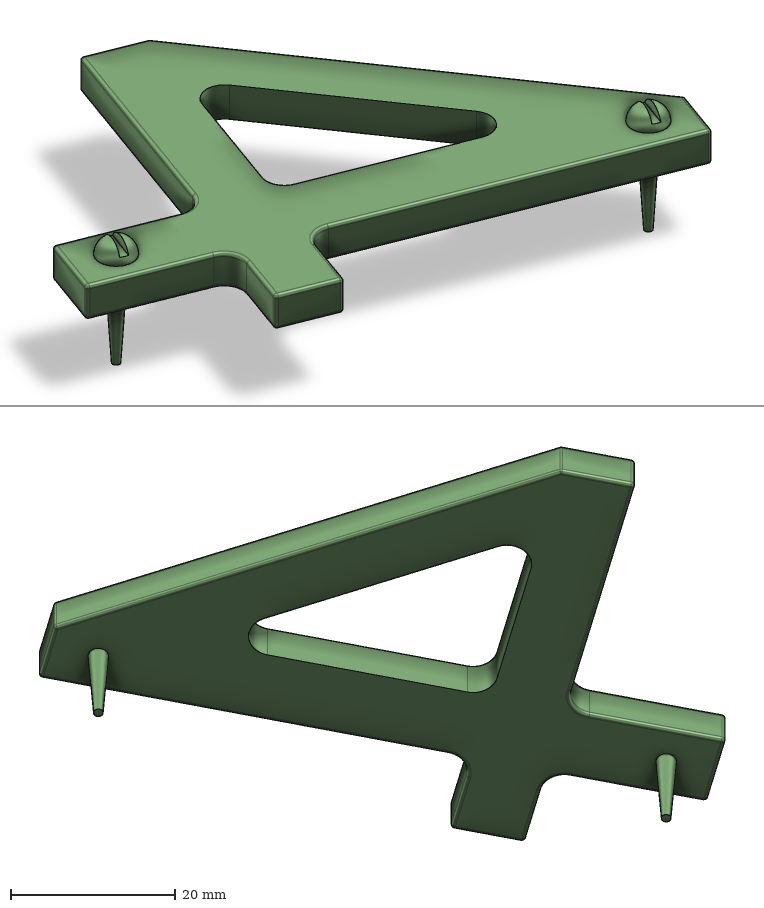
import cadquery as cq

plate_width = 57.8
plate_height = 83.7
plate_thickness = 5.0
stem_left = 36.4
stem_width = 10.05
stem_right = stem_left + stem_width
bar_bottom = 20.1
bar_width = 9.3
bar_top = bar_bottom + bar_width
top_left = 38.25
slope_stroke_run = 10.0
inside_radius = 3.0
edge_radius = 0.5

screw_x = stem_left + stem_width / 2
screw_inset = 6.3
screw_positions = [(screw_x, screw_inset), (screw_x, plate_height - screw_inset)]
head_radius = 2.8
head_height = 2.6
slot_width = 1.2
slot_depth = 1.5
shank_top_radius = 1.25
shank_tip_radius = 0.6
shank_projection = 10.9

shank_profile = [
    (0, plate_thickness),
    (shank_top_radius, plate_thickness),
    (shank_top_radius, 0),
    (shank_tip_radius, -shank_projection),
    (0, -shank_projection),
]


def make_opening():
    """Rounded triangular opening bounded by the slope, the bar and the stem."""
    slope = (plate_height - bar_top) / top_left
    opening_left = slope_stroke_run
    opening_top = bar_top + slope * (stem_left - opening_left)
    return (
        cq.Workplane("XY")
        .polyline([(opening_left, bar_top), (stem_left, bar_top), (stem_left, opening_top)])
        .close()
        .extrude(plate_thickness)
        .edges("|Z")
        .fillet(inside_radius)
    )


def make_shank():
    """Straight and tapered shank on the Z axis."""
    return cq.Workplane("XZ").polyline(shank_profile).close().revolve(360, (0, 0, 0), (0, 1, 0))


def make_plate():
    """Numeral four with rounded outer edges and two screw holes."""
    outline = [
        (0, bar_bottom),
        (stem_left, bar_bottom),
        (stem_left, 0),
        (stem_right, 0),
        (stem_right, bar_bottom),
        (plate_width, bar_bottom),
        (plate_width, bar_top),
        (stem_right, bar_top),
        (stem_right, plate_height),
        (top_left, plate_height),
        (0, bar_top),
    ]
    inside_corners = [(stem_left, bar_bottom), (stem_right, bar_bottom), (stem_right, bar_top)]
    body = cq.Workplane("XY").polyline(outline).close().extrude(plate_thickness)
    for x, y in inside_corners:
        corner = cq.selectors.NearestToPointSelector((x, y, plate_thickness / 2))
        body = body.edges("|Z").edges(corner).fillet(inside_radius)
    outside_corners = [point for point in outline if point not in inside_corners]
    rounded_edges = body.edges("#Z")
    for x, y in outside_corners:
        corner = cq.selectors.NearestToPointSelector((x, y, plate_thickness / 2))
        rounded_edges = rounded_edges.add(body.edges("|Z").edges(corner))
    body = body.newObject(rounded_edges.vals()).fillet(edge_radius)
    body = body.cut(make_opening())
    for x, y in screw_positions:
        body = body.cut(make_shank().translate((x, y, 0)))
    return body


def make_screw():
    """Round-head screw on the Z axis, with a slot along X."""
    sphere_radius = (head_radius**2 + head_height**2) / (2 * head_height)
    sphere_center = plate_thickness + head_height - sphere_radius
    head_top = plate_thickness + head_height
    head_space = cq.Workplane("XY", origin=(0, 0, plate_thickness)).circle(2 * head_radius).extrude(head_height)
    head = cq.Workplane("XY", origin=(0, 0, sphere_center)).sphere(sphere_radius).intersect(head_space)
    slot = (
        cq.Workplane("XY", origin=(0, 0, head_top - slot_depth))
        .rect(2 * head_radius, slot_width)
        .extrude(slot_depth)
    )
    return head.cut(slot).union(make_shank())


plate = make_plate()
screws = [make_screw().translate((x, y, 0)).val() for x, y in screw_positions]
result = cq.Compound.makeCompound([plate.val(), *screws])